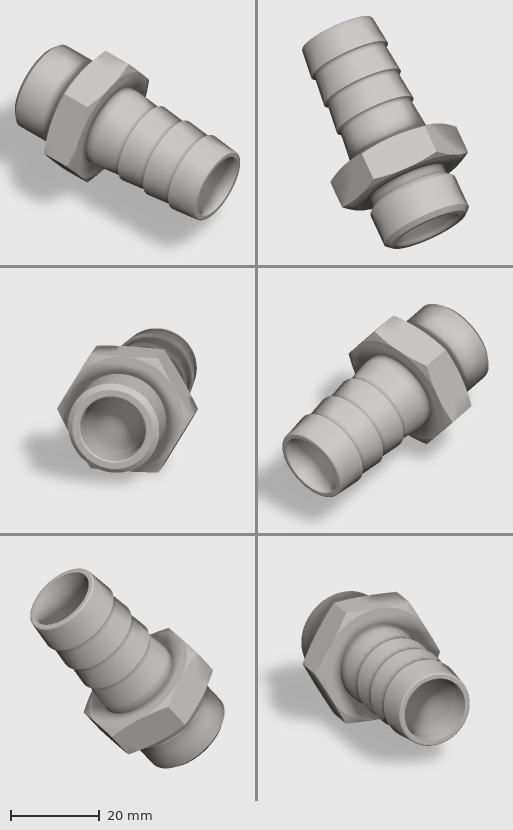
import cadquery as cq
import math

total_length = 50.0

thread_radius = 10.5
thread_tip_radius = 9.3
thread_chamfer_length = 1.1
thread_end = 8.6
neck_radius = 9.15
neck_start = thread_end + thread_radius - neck_radius

hex_start = 12.0
hex_width = 8.0
hex_end = hex_start + hex_width
across_flats = 27.0
hex_chamfer_angle = math.radians(20.0)
root_fillet = 0.15

collar_length = 2.0
barb_step_count = 3
barb_pitch = 7.0
barb_radius = 9.5
valley_radius = 8.75
barb_length = 6.9
barb_face_lean = 0.2
barb_foot_fillet = 0.4
tip_fillet = 0.45

bore_radius = 7.5
bore_chamfer = 0.3


def threaded_end():
    """Chamfered thread cylinder, conical runout and neck, reaching into the hexagon."""
    return (
        cq.Workplane("XZ")
        .lineTo(0, thread_tip_radius)
        .lineTo(thread_chamfer_length, thread_radius)
        .lineTo(thread_end, thread_radius)
        .lineTo(neck_start, neck_radius)
        .lineTo(hex_end, neck_radius)
        .lineTo(hex_end, 0)
        .close()
        .revolve(360, (0, 0, 0), (1, 0, 0))
    )


def hexagon():
    """Hexagon with flats at +Z and -Z and its corners turned down on both faces."""
    corner_radius = across_flats / 2 / math.cos(math.pi / 6)
    prism = (
        cq.Workplane("YZ", origin=(hex_start, 0, 0))
        .polygon(6, 2 * corner_radius)
        .extrude(hex_width)
    )
    chamfer_depth = (corner_radius - across_flats / 2) * math.tan(hex_chamfer_angle)
    turned_envelope = (
        cq.Workplane("XZ")
        .moveTo(hex_start, 0)
        .lineTo(hex_start, across_flats / 2)
        .lineTo(hex_start + chamfer_depth, corner_radius)
        .lineTo(hex_end - chamfer_depth, corner_radius)
        .lineTo(hex_end, across_flats / 2)
        .lineTo(hex_end, 0)
        .close()
        .revolve(360, (0, 0, 0), (1, 0, 0))
    )
    return prism.intersect(turned_envelope)


def hose_tail():
    """Plain collar and taper followed by a row of barbs, each stepping up from a filleted foot."""
    last_edge = total_length - barb_length
    barb_edges = [last_edge - index * barb_pitch for index in reversed(range(barb_step_count))]

    profile = (
        cq.Workplane("XZ")
        .moveTo(hex_start, 0)
        .lineTo(hex_start, barb_radius)
        .lineTo(hex_end + collar_length, barb_radius)
    )
    for edge_x in barb_edges:
        profile = (
            profile.lineTo(edge_x - barb_face_lean, valley_radius)
            .lineTo(edge_x, barb_radius)
        )
    tail = (
        profile.lineTo(total_length, valley_radius)
        .lineTo(total_length, 0)
        .close()
        .revolve(360, (0, 0, 0), (1, 0, 0))
    )

    box_half = barb_face_lean / 2
    for edge_x in barb_edges:
        foot_x = edge_x - barb_face_lean
        foot_box = cq.selectors.BoxSelector(
            (foot_x - box_half, -box_half, -box_half),
            (foot_x + box_half, box_half, box_half),
        )
        tail = tail.edges(foot_box).fillet(barb_foot_fillet)
    return tail.faces(">X").edges().fillet(tip_fillet)


def bore():
    """Through bore with a chamfered mouth at the threaded end."""
    return (
        cq.Workplane("XZ")
        .lineTo(0, bore_radius + bore_chamfer)
        .lineTo(bore_chamfer, bore_radius)
        .lineTo(total_length, bore_radius)
        .lineTo(total_length, 0)
        .close()
        .revolve(360, (0, 0, 0), (1, 0, 0))
    )


def root_ring(face_x, shaft_radius, direction):
    """Concave fillet ring between a hexagon face and the shaft leaving it along direction."""
    shaft_end = (face_x + direction * root_fillet, shaft_radius)
    face_end = (face_x, shaft_radius + root_fillet)
    return (
        cq.Workplane("XZ")
        .moveTo(face_x, shaft_radius - root_fillet)
        .lineTo(shaft_end[0], shaft_radius - root_fillet)
        .lineTo(*shaft_end)
        .radiusArc(face_end, direction * root_fillet)
        .close()
        .revolve(360, (0, 0, 0), (1, 0, 0))
    )


body = threaded_end().union(hexagon()).union(hose_tail())
body = body.union(root_ring(hex_start, neck_radius, -1))
body = body.union(root_ring(hex_end, barb_radius, 1))
result = body.cut(bore())